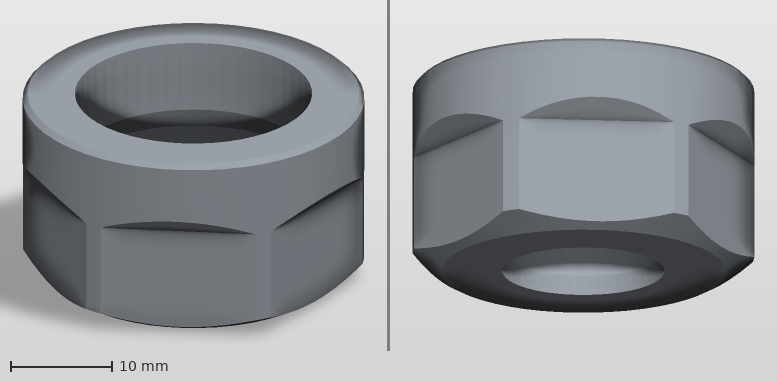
import cadquery as cq
import math

body_diameter = 33.7
body_height = 19.0
top_chamfer = 0.5
bottom_face_diameter = 28.0
bottom_bevel_angle = 30.0

flat_count = 6
across_flats = 30.0
flat_top_z = 11.0
shoulder_angle = 45.0

thread_diameter = 23.38
relief_diameter = 25.5
seat_diameter = 20.0
outlet_diameter = 16.0
thread_bottom_z = 11.75
relief_taper_bottom_z = 9.5
floor_z = 6.45
floor_fillet = 0.8
seat_wall_depth = 1.0
seat_half_angle = 30.0

body_radius = body_diameter / 2
clearance = 1.0


def revolve_about_z(profile):
    """Turn a closed (radius, height) profile on the XZ plane about the Z axis."""
    return profile.close().revolve(360, (0, 0, 0), (0, 1, 0))


def make_body():
    """Round blank with a chamfered top rim and a conical bottom bevel."""
    bottom_radius = bottom_face_diameter / 2
    bevel_height = (body_radius - bottom_radius) * math.tan(math.radians(bottom_bevel_angle))
    profile = (
        cq.Workplane("XZ")
        .moveTo(0, 0)
        .lineTo(bottom_radius, 0)
        .lineTo(body_radius, bevel_height)
        .lineTo(body_radius, body_height - top_chamfer)
        .lineTo(body_radius - top_chamfer, body_height)
        .lineTo(0, body_height)
    )
    return revolve_about_z(profile)


def make_flat_cutter():
    """Prism that removes one wrench flat and its sloped shoulder on the +Y side."""
    flat_y = across_flats / 2
    outer_y = body_radius + clearance
    shoulder_rise = (outer_y - flat_y) * math.tan(math.radians(shoulder_angle))
    return (
        cq.Workplane("YZ")
        .moveTo(flat_y, -clearance)
        .lineTo(outer_y, -clearance)
        .lineTo(outer_y, flat_top_z + shoulder_rise)
        .lineTo(flat_y, flat_top_z)
        .close()
        .extrude(body_radius, both=True)
    )


def make_bore():
    """Thread bore, flared relief with filleted floor, conical seat and outlet."""
    thread_radius = thread_diameter / 2
    relief_radius = relief_diameter / 2
    seat_radius = seat_diameter / 2
    outlet_radius = outlet_diameter / 2
    seat_top_z = floor_z - seat_wall_depth
    seat_height = (seat_radius - outlet_radius) / math.tan(math.radians(seat_half_angle))
    profile = (
        cq.Workplane("XZ")
        .moveTo(0, -clearance)
        .lineTo(outlet_radius, -clearance)
        .lineTo(outlet_radius, seat_top_z - seat_height)
        .lineTo(seat_radius, seat_top_z)
        .lineTo(seat_radius, floor_z)
        .lineTo(relief_radius - floor_fillet, floor_z)
        .radiusArc((relief_radius, floor_z + floor_fillet), -floor_fillet)
        .lineTo(relief_radius, relief_taper_bottom_z)
        .lineTo(thread_radius, thread_bottom_z)
        .lineTo(thread_radius, body_height + clearance)
        .lineTo(0, body_height + clearance)
    )
    return revolve_about_z(profile)


result = make_body()
flat_cutter = make_flat_cutter()
for index in range(flat_count):
    flat_angle = index * 360 / flat_count
    result = result.cut(flat_cutter.rotate((0, 0, 0), (0, 0, 1), flat_angle))
result = result.cut(make_bore())